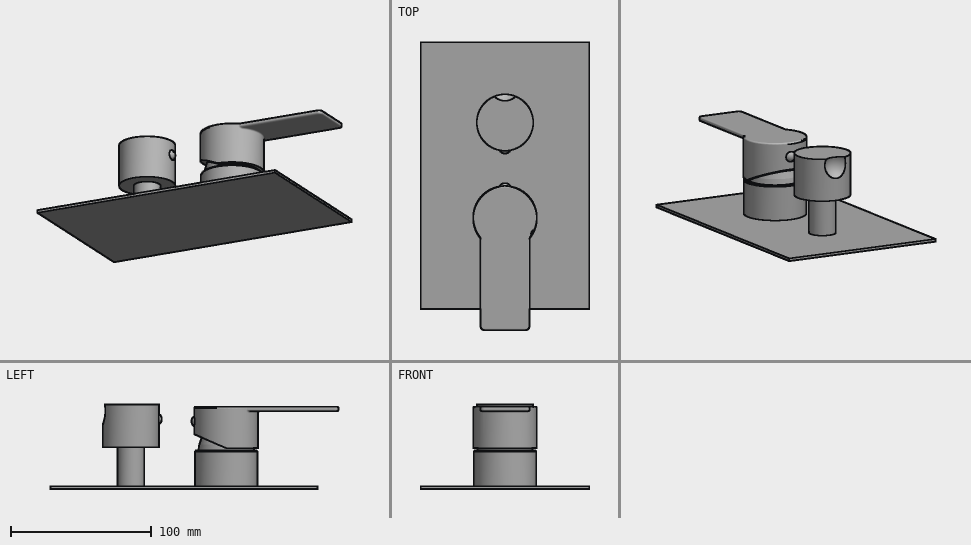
import cadquery as cq

OVERALL_LENGTH = 205.0

PLATE_WIDTH = 120.0
PLATE_LENGTH = 190.0
PLATE_THICKNESS = 2.0
PLATE_BACK_Y = 125.0

KNOB_Y = 67.9
KNOB_RADIUS = 20.0
KNOB_BOTTOM_Z = 29.7
KNOB_TOP_Z = 60.3
STEM_RADIUS = 9.6
KNOB_BUTTON_Z = 49.8

DIMPLE_RADIUS = 11.7
DIMPLE_OFFSET = 26.2
DIMPLE_Z = 55.8

BUTTON_RADIUS = 4.3
BUTTON_PROTRUSION = 2.0

BASE_RADIUS = 22.3
BASE_TOP_Z = 27.5
BASE_CHAMFER = 0.8
NECK_BOTTOM_RADIUS = 19.9
NECK_SHOULDER_RADIUS = 19.3
NECK_SHOULDER_Z = 31.5
NECK_TOP_Z = 39.0
NECK_TOP_RADIUS = 17.0

HANDLE_RADIUS = 22.8
HANDLE_BOTTOM_Z = 29.1
HANDLE_TOP_Z = 58.6
HANDLE_BACK_Z = 39.0
HANDLE_BUTTON_Z = 48.2
LEVER_WIDTH = 35.0
LEVER_REACH = OVERALL_LENGTH - PLATE_BACK_Y
LEVER_THICKNESS = 3.3
LEVER_CORNER_RADIUS = 3.0
EDGE_FILLET = 1.2


def cylinder(radius, bottom_z, top_z, y=0.0):
    """Upright cylinder on the part's centre plane."""
    return cq.Workplane("XY", origin=(0, y, bottom_z)).circle(radius).extrude(top_z - bottom_z)


def ball(radius, y, z):
    """Sphere centred on the part's centre plane."""
    return cq.Workplane("XY", origin=(0, y, z)).sphere(radius)


def make_plate():
    return cq.Workplane("XY", origin=(0, PLATE_BACK_Y - PLATE_LENGTH / 2, 0)).box(
        PLATE_WIDTH, PLATE_LENGTH, PLATE_THICKNESS, centered=(True, True, False)
    )


def make_knob():
    """Stem and knob, with a button in front and a dimple in the back upper rim."""
    button_offset = KNOB_RADIUS + BUTTON_PROTRUSION - BUTTON_RADIUS
    stem = cylinder(STEM_RADIUS, PLATE_THICKNESS, KNOB_BOTTOM_Z, KNOB_Y)
    head = cylinder(KNOB_RADIUS, KNOB_BOTTOM_Z, KNOB_TOP_Z, KNOB_Y)
    button = ball(BUTTON_RADIUS, KNOB_Y - button_offset, KNOB_BUTTON_Z)
    dimple = ball(DIMPLE_RADIUS, KNOB_Y + DIMPLE_OFFSET, DIMPLE_Z)
    return stem.union(head).union(button).cut(dimple)


def make_neck():
    """Neck with a slight taper up to its shoulder and a stronger one above."""
    return (
        cq.Workplane("XZ")
        .moveTo(0, BASE_TOP_Z)
        .lineTo(NECK_BOTTOM_RADIUS, BASE_TOP_Z)
        .lineTo(NECK_SHOULDER_RADIUS, NECK_SHOULDER_Z)
        .lineTo(NECK_TOP_RADIUS, NECK_TOP_Z)
        .lineTo(0, NECK_TOP_Z)
        .close()
        .revolve(360, (0, 0, 0), (0, 1, 0))
    )


def make_mounting():
    """Wall plate in one piece with the knob, the mixer base and its neck."""
    base = cylinder(BASE_RADIUS, PLATE_THICKNESS, BASE_TOP_Z).faces(">Z").chamfer(BASE_CHAMFER)
    return make_plate().union(make_knob()).union(base).union(make_neck())


def make_lever():
    """Flat bar that runs from the mixer axis to the tip, with rounded tip corners."""
    lever_bottom_z = HANDLE_TOP_Z - LEVER_THICKNESS
    return (
        cq.Workplane("XY", origin=(0, -LEVER_REACH / 2, lever_bottom_z))
        .box(LEVER_WIDTH, LEVER_REACH, LEVER_THICKNESS, centered=(True, True, False))
        .edges("|Z and <Y")
        .fillet(LEVER_CORNER_RADIUS)
        .faces("<Z")
        .edges("not >Y")
        .fillet(EDGE_FILLET)
    )


def make_underside_wedge():
    """Space below the sloping rear underside of the handle."""
    slope = (HANDLE_BACK_Z - HANDLE_BOTTOM_Z) / HANDLE_RADIUS
    wedge_length = 2 * HANDLE_RADIUS
    return (
        cq.Workplane("YZ")
        .moveTo(0, HANDLE_BOTTOM_Z)
        .lineTo(wedge_length, HANDLE_BOTTOM_Z)
        .lineTo(wedge_length, HANDLE_BOTTOM_Z + slope * wedge_length)
        .close()
        .extrude(HANDLE_RADIUS, both=True)
    )


def make_handle():
    """Round handle with its lever, seated over the neck."""
    root_box = cq.selectors.BoxSelector(
        (-LEVER_WIDTH, 0, HANDLE_TOP_Z - 2 * LEVER_THICKNESS),
        (LEVER_WIDTH, -HANDLE_RADIUS, HANDLE_TOP_Z - EDGE_FILLET / 2),
    )
    body = cylinder(HANDLE_RADIUS, HANDLE_BOTTOM_Z, HANDLE_TOP_Z).union(make_lever())
    body = body.edges(root_box).fillet(EDGE_FILLET)
    body = body.faces(">Z").edges().fillet(EDGE_FILLET)
    button_offset = HANDLE_RADIUS + BUTTON_PROTRUSION - BUTTON_RADIUS
    button = ball(BUTTON_RADIUS, button_offset, HANDLE_BUTTON_Z)
    return body.cut(make_underside_wedge()).union(button).cut(make_neck())


mounting = make_mounting()
handle = make_handle()

result = cq.Compound.makeCompound([mounting.val(), handle.val()])